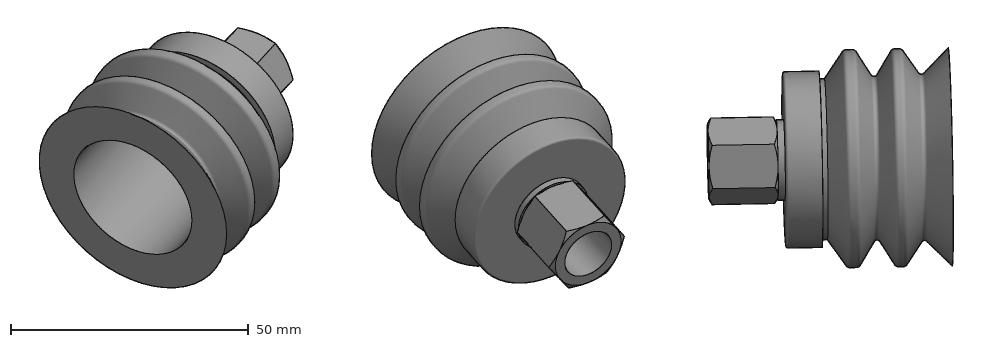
import cadquery as cq
import math

length = 51.0

crest_radius = 23.0
groove_station = 5.85
groove_radius = crest_radius - groove_station
fold_1_start = 9.85
fold_1_end = 11.85
valley_station = 15.75
valley_radius = 16.65
fold_2_start = 2 * valley_station - fold_1_end
fold_2_end = 22.05
shoulder_radius = 17.0
shoulder_station = 26.2
crest_rounding = 1.0
valley_rounding = 0.7

collar_radius = 18.6
collar_start = 27.35
collar_end = 35.0
collar_rounding = 0.5
neck_radius = 8.5

hex_start = 36.45
hex_across_flats = 16.0
hex_turn = -2.0
hex_chamfer_angle = 30.0

mouth_radius = 14.5
mouth_depth = shoulder_station
chamber_radius = 11.5
chamber_depth = 30.6
bore_radius = 5.7


def cylinder(radius, start, end):
    return cq.Workplane("XZ", origin=(0, start, 0)).circle(radius).extrude(start - end)


def rounded_corner(before, corner, after, rounding):
    """Return start, middle and end of the arc that rounds a corner of an outline."""
    corner = cq.Vector(*corner)
    to_before = (cq.Vector(*before) - corner).normalized()
    to_after = (cq.Vector(*after) - corner).normalized()
    half_angle = to_before.getAngle(to_after) / 2
    setback = rounding / math.tan(half_angle)
    bisector = (to_before + to_after).normalized()
    middle = corner + bisector * (rounding / math.sin(half_angle) - rounding)
    return corner + to_before * setback, middle, corner + to_after * setback


def revolved(corners):
    """Revolve an outline of (radius, station, rounding) corners, closed along the axis."""
    points = [(radius, station) for radius, station, _ in corners]
    outline = cq.Workplane("XY").moveTo(0, points[0][1])
    for i, (radius, station, rounding) in enumerate(corners):
        if rounding:
            start, middle, end = rounded_corner(points[i - 1], points[i], points[i + 1], rounding)
            outline = outline.lineTo(start.x, start.y)
            outline = outline.threePointArc((middle.x, middle.y), (end.x, end.y))
        else:
            outline = outline.lineTo(radius, station)
    outline = outline.lineTo(0, points[-1][1]).close()
    return outline.revolve(360, (0, 0), (0, 1))


def make_body():
    return revolved([
        (crest_radius, 0, 0),
        (groove_radius, groove_station, valley_rounding),
        (crest_radius, fold_1_start, crest_rounding),
        (crest_radius, fold_1_end, crest_rounding),
        (valley_radius, valley_station, valley_rounding),
        (crest_radius, fold_2_start, crest_rounding),
        (crest_radius, fold_2_end, crest_rounding),
        (shoulder_radius, shoulder_station, 0),
        (shoulder_radius, collar_start, 0),
        (collar_radius, collar_start, 0),
        (collar_radius, collar_end, collar_rounding),
        (neck_radius, collar_end, 0),
        (neck_radius, hex_start, 0),
    ])


def make_hex_fitting():
    flat_radius = hex_across_flats / 2
    corner_radius = flat_radius / math.cos(math.radians(30))
    chamfer = (corner_radius - flat_radius) * math.tan(math.radians(hex_chamfer_angle))
    prism = (
        cq.Workplane("XZ", origin=(0, hex_start, 0))
        .transformed(rotate=(0, 0, hex_turn))
        .polygon(6, 2 * corner_radius)
        .extrude(hex_start - length)
    )
    chamfer_envelope = revolved([
        (flat_radius, hex_start, 0),
        (corner_radius, hex_start + chamfer, 0),
        (corner_radius, length - chamfer, 0),
        (flat_radius, length, 0),
    ])
    return prism.intersect(chamfer_envelope)


def make_interior():
    mouth = cylinder(mouth_radius, 0, mouth_depth)
    chamber = cylinder(chamber_radius, 0, chamber_depth)
    bore = cylinder(bore_radius, 0, length)
    return mouth.union(chamber).union(bore)


part = make_body().union(make_hex_fitting()).cut(make_interior())

result = part.translate((0, -length / 2, 0))